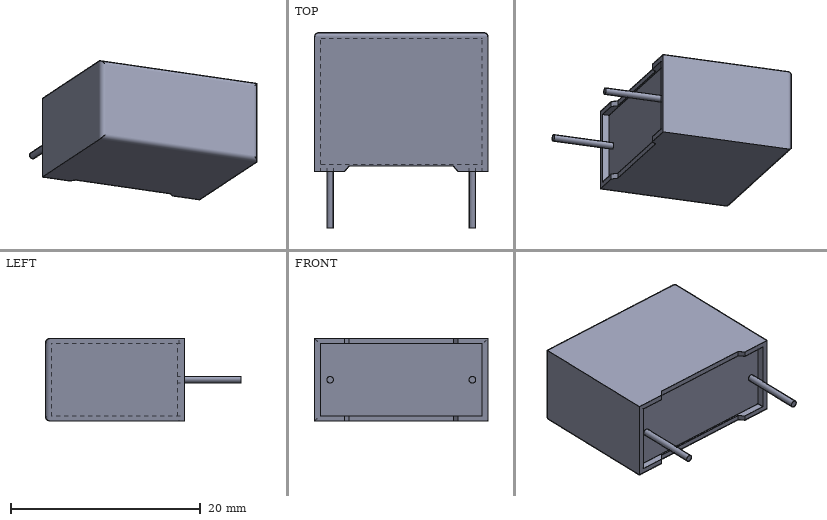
import cadquery as cq

WIDTH = 18.3
HEIGHT = 8.71
TOTAL_LENGTH = 20.6
PIN_REACH = 5.95
DEPTH = TOTAL_LENGTH - PIN_REACH
SIDE_WALL = 0.62
TOP_WALL = 0.55
BACK_WALL = SIDE_WALL
BACK_EDGE_RADIUS = 0.5

NOTCH_MOUTH_WIDTH = 11.95
NOTCH_FLOOR_WIDTH = 10.98
NOTCH_DEPTH = 0.55

FILL_RECESS = 0.75
CAVITY_WIDTH = WIDTH - 2 * SIDE_WALL
CAVITY_HEIGHT = HEIGHT - 2 * TOP_WALL

PIN_DIAMETER = 0.7
PIN_PITCH = 15.0


def block(width, height, y_front, y_back):
    """Box centred on X and Z, reaching from y_front to y_back."""
    return cq.Workplane("XY").box(width, y_back - y_front, height).translate(
        (0, (y_front + y_back) / 2, 0)
    )


def make_notch():
    """Trapezoidal cutter that crosses both the top and the bottom wall."""
    return (
        cq.Workplane("XY")
        .moveTo(-NOTCH_MOUTH_WIDTH / 2, 0)
        .lineTo(-NOTCH_FLOOR_WIDTH / 2, NOTCH_DEPTH)
        .lineTo(NOTCH_FLOOR_WIDTH / 2, NOTCH_DEPTH)
        .lineTo(NOTCH_MOUTH_WIDTH / 2, 0)
        .close()
        .extrude(HEIGHT / 2, both=True)
    )


def make_housing():
    shell = block(WIDTH, HEIGHT, 0, DEPTH).faces(">Y").edges().fillet(BACK_EDGE_RADIUS)
    cavity = block(CAVITY_WIDTH, CAVITY_HEIGHT, 0, DEPTH - BACK_WALL)
    return shell.cut(cavity).cut(make_notch())


def make_filling():
    return block(CAVITY_WIDTH, CAVITY_HEIGHT, FILL_RECESS, DEPTH - BACK_WALL)


def make_pin(x):
    """Pin along Y, from the filling face out through the mouth."""
    return (
        cq.Workplane("XZ", origin=(x, FILL_RECESS, 0))
        .circle(PIN_DIAMETER / 2)
        .extrude(FILL_RECESS + PIN_REACH)
    )


housing = make_housing()
filling = make_filling()
pins = [make_pin(side * PIN_PITCH / 2) for side in (-1, 1)]

result = cq.Compound.makeCompound([housing.val(), filling.val(), *[pin.val() for pin in pins]])